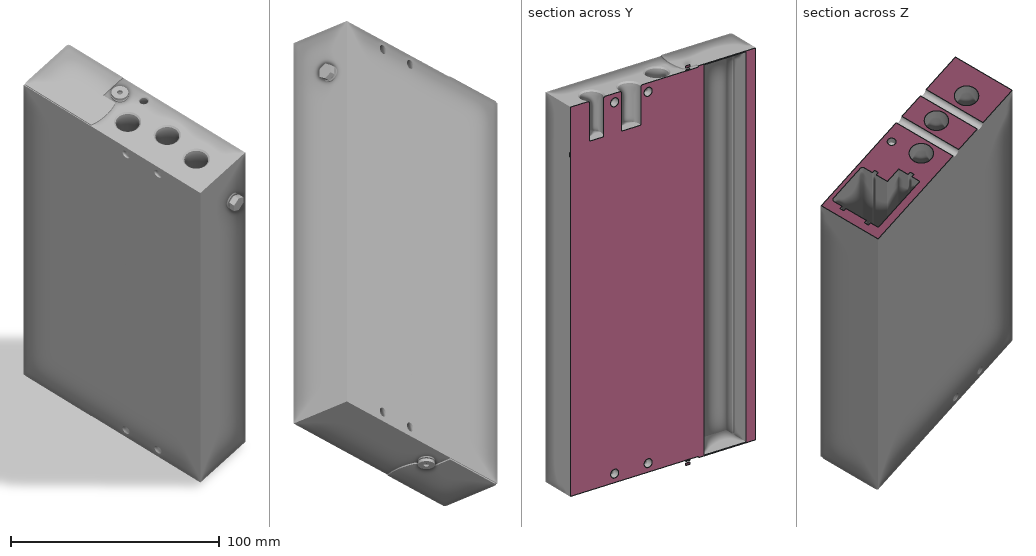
import cadquery as cq

overall_length = 213.0
width = 33.9
overall_width_x = 114.0
fitting_length = 4.3
left_x = -overall_width_x / 2
right_x = overall_width_x / 2 - fitting_length
block_height = 207.5
top_z = block_height / 2

pad_height = 0.68
pad_side_inset = 0.32
pad_corner_radius = 1.3
pad_inner_x = -23.0
pad_step_y = 1.7
pad_nose_x = -15.3
pad_nose_tip_x = -13.8

cavity_left_x = -51.1
cavity_back_y = 14.7
cavity_front_y = -12.8
cavity_upper_right_x = -26.6
cavity_lower_right_x = -17.5
cavity_step_y = -0.5
cavity_corner_radius = 1.3
keyway_height = 2.1
keyway_depth = 1.7
back_keyway_y = 7.5
front_keyway_y = -7.0

port_centres = [(-3.5, -3.6), (16.6, 2.0), (37.0, -1.0)]
port_diameter = 11.5
port_mouth_diameter = 13.0
port_depth = 21.3
pilot_centre = (-6.2, 12.0)
pilot_diameter = 4.0
pilot_mouth_diameter = 5.0
pilot_depth = 8.5

mounting_x = [6.5, 26.5]
mounting_z = 98.8
mounting_diameter = 4.5

washer_diameter = 8.0
washer_thickness = 0.6
neck_diameter = 6.0
neck_length = 0.6
stem_length = washer_thickness + neck_length

screw_x = -16.8
screw_y = 6.8
screw_height = overall_length / 2 - top_z
screw_head_diameter = 8.0
socket_diameter = 2.8
socket_depth = 1.3

fitting_y = 6.8
fitting_z = 78.4
hex_corner_diameter = 8.0


def rectangle_prism(x_min, x_max, y_min, y_max, height):
    """Box of the given plan, centred on Z = 0."""
    return (
        cq.Workplane("XY")
        .center((x_min + x_max) / 2, (y_min + y_max) / 2)
        .rect(x_max - x_min, y_max - y_min)
        .extrude(height / 2, both=True)
    )


def make_pads():
    """Both end pads, as one prism running through the block."""
    edge_y = width / 2 - pad_side_inset
    nose_middle_y = (pad_step_y - edge_y) / 2
    total_height = block_height + 2 * pad_height
    prism = (
        cq.Workplane("XY")
        .moveTo(left_x, -edge_y)
        .lineTo(pad_nose_x, -edge_y)
        .threePointArc((pad_nose_tip_x, nose_middle_y), (pad_nose_x, pad_step_y))
        .lineTo(pad_inner_x, pad_step_y)
        .lineTo(pad_inner_x, edge_y)
        .lineTo(left_x, edge_y)
        .close()
        .extrude(total_height / 2, both=True)
    )
    nose_corner = cq.selectors.NearestToPointSelector((pad_nose_x, pad_step_y, 0))
    prism = prism.edges("|Z and <X").fillet(pad_corner_radius)
    return prism.edges(nose_corner).fillet(pad_corner_radius)


def make_cavity():
    """L-shaped prism with four keyways."""
    wide_part = rectangle_prism(
        cavity_left_x, cavity_lower_right_x, cavity_front_y, cavity_step_y, block_height
    )
    narrow_part = rectangle_prism(
        cavity_left_x, cavity_upper_right_x, cavity_front_y, cavity_back_y, block_height
    ).edges("|Z and >Y").fillet(cavity_corner_radius)
    cavity = wide_part.union(narrow_part)
    for keyway_y, right_wall_x in [
        (back_keyway_y, cavity_upper_right_x),
        (front_keyway_y, cavity_lower_right_x),
    ]:
        keyways = rectangle_prism(
            cavity_left_x - keyway_depth,
            right_wall_x + keyway_depth,
            keyway_y - keyway_height / 2,
            keyway_y + keyway_height / 2,
            block_height,
        )
        cavity = cavity.union(keyways)
    return cavity


def countersunk_hole(centre, diameter, mouth_diameter, depth):
    """Blind hole cutter from the top face, with a 45-degree chamfer at its mouth."""
    radius = diameter / 2
    mouth_radius = mouth_diameter / 2
    return (
        cq.Workplane("XZ", origin=(*centre, top_z))
        .lineTo(mouth_radius, 0)
        .lineTo(radius, radius - mouth_radius)
        .lineTo(radius, -depth)
        .lineTo(0, -depth)
        .close()
        .revolve(360, (0, 0), (0, 1))
    )


def make_housing():
    """Block with end pads, inner cavity, ports, pilot hole and mounting holes."""
    block = rectangle_prism(left_x, right_x, -width / 2, width / 2, block_height)
    housing = block.union(make_pads()).clean().cut(make_cavity())
    for centre in port_centres:
        housing = housing.cut(countersunk_hole(centre, port_diameter, port_mouth_diameter, port_depth))
    housing = housing.cut(countersunk_hole(pilot_centre, pilot_diameter, pilot_mouth_diameter, pilot_depth))
    mounting_points = [(x, z) for x in mounting_x for z in (-mounting_z, mounting_z)]
    mounting_holes = (
        cq.Workplane("XZ")
        .pushPoints(mounting_points)
        .circle(mounting_diameter / 2)
        .extrude(width, both=True)
    )
    return housing.cut(mounting_holes)


def washer_and_neck(seat):
    """Washer on the seat plane with a neck on it, ending in a plane for the head."""
    return (
        seat.circle(washer_diameter / 2)
        .extrude(washer_thickness)
        .faces(cq.selectors.DirectionMinMaxSelector(seat.plane.zDir))
        .workplane()
        .circle(neck_diameter / 2)
        .extrude(neck_length)
        .faces(cq.selectors.DirectionMinMaxSelector(seat.plane.zDir))
        .workplane()
    )


def make_screw(end):
    """Screw on the top (end = 1) or bottom (end = -1) face."""
    seat = cq.Workplane("XY", origin=(screw_x, screw_y, top_z))
    screw = (
        washer_and_neck(seat)
        .circle(screw_head_diameter / 2)
        .extrude(screw_height - stem_length)
        .faces(">Z")
        .workplane()
        .hole(socket_diameter, socket_depth)
    )
    return screw if end > 0 else screw.mirror("XY")


def make_fitting():
    """Fitting along X, with two of its hexagon corners straight above and below its axis."""
    seat = cq.Workplane("YZ", origin=(right_x, fitting_y, fitting_z))
    return (
        washer_and_neck(seat)
        .transformed(rotate=(0, 0, 90))
        .polygon(6, hex_corner_diameter)
        .extrude(fitting_length - stem_length)
    )


housing = make_housing()
screws = [make_screw(end) for end in (1, -1)]
fitting = make_fitting()

result = cq.Compound.makeCompound([housing.val(), *[screw.val() for screw in screws], fitting.val()])